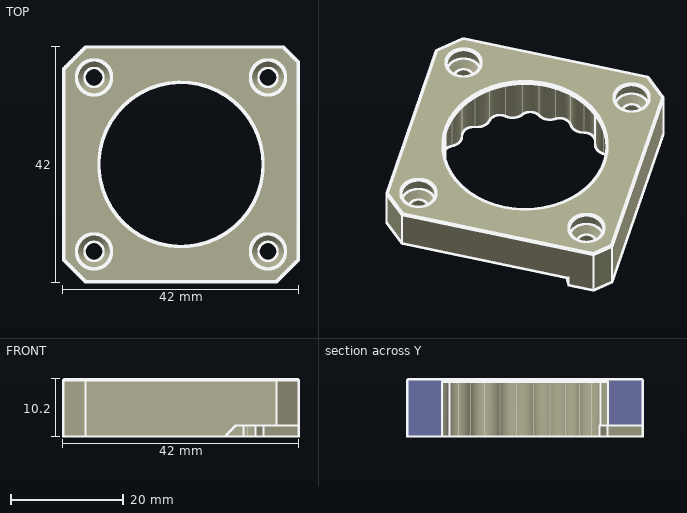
import cadquery as cq
import math

side = 42.0
height = 10.25
half = side / 2
corner_cut = 3.95
small_corner_cut = 2.75
edge_break = 0.2

mouth_radius = 14.55
mouth_depth = 0.5
lobe_count = 16
crest_radius = 14.75
valley_radius = 15.95
flank_radius = (crest_radius + valley_radius) / 2
lobe_pitch = 360 / lobe_count

hole_offset = 15.5
hole_radius = 1.7
sink_radius = 3.02
sink_depth = 2.6
cone_depth = sink_radius - hole_radius

recess_depth = 1.97
recess_start = 7.75
ledge_y = -15.1
ledge_end_x = 11.15
wall_bend_x = 14.65
inner_wall_tilt = 49.0
outer_wall_tilt = 27.0


def polar(radius, angle):
    """Point at a radius and an angle in degrees about the bore axis."""
    turn = math.radians(angle)
    return (radius * math.cos(turn), radius * math.sin(turn))


def make_plate():
    corners = [
        (1, 1, small_corner_cut),
        (-1, 1, corner_cut),
        (-1, -1, corner_cut),
        (1, -1, corner_cut),
    ]
    outline = []
    for x_sign, y_sign, cut in corners:
        along_side = (x_sign * (half - cut), y_sign * half)
        along_end = (x_sign * half, y_sign * (half - cut))
        pair = [along_end, along_side]
        if x_sign != y_sign:
            pair.reverse()
        outline += pair
    plate = cq.Workplane("XY").polyline(outline).close().extrude(height)
    return plate.faces(">Z").edges().chamfer(edge_break)


def make_bore():
    outline = cq.Workplane("XY").moveTo(*polar(flank_radius, -lobe_pitch / 4))
    for index in range(lobe_count):
        crest_angle = index * lobe_pitch
        valley_angle = crest_angle + lobe_pitch / 2
        outline = outline.threePointArc(
            polar(crest_radius, crest_angle),
            polar(flank_radius, crest_angle + lobe_pitch / 4))
        outline = outline.threePointArc(
            polar(valley_radius, valley_angle),
            polar(flank_radius, valley_angle + lobe_pitch / 4))
    scallops = outline.close().extrude(height - mouth_depth)
    mouth_profile = [
        (0, 0),
        (mouth_radius, 0),
        (mouth_radius, height - edge_break),
        (mouth_radius + edge_break, height),
        (0, height),
    ]
    mouth = cq.Workplane("XZ").polyline(mouth_profile).close().revolve(360, (0, 0), (0, 1))
    return scallops.union(mouth)


def make_screw_hole():
    sink_floor = height - sink_depth
    profile = [
        (0, 0),
        (hole_radius, 0),
        (hole_radius, sink_floor - cone_depth),
        (sink_radius, sink_floor),
        (sink_radius, height - edge_break),
        (sink_radius + edge_break, height),
        (0, height),
    ]
    return cq.Workplane("XZ").polyline(profile).close().revolve(360, (0, 0), (0, 1))


def make_recess():
    ramp_profile = [
        (recess_start, 0),
        (half, 0),
        (half, recess_depth),
        (recess_start + recess_depth, recess_depth),
    ]
    ramped_slot = (
        cq.Workplane("XZ", origin=(0, ledge_y, 0))
        .polyline(ramp_profile).close().extrude(half + ledge_y)
    )
    wall_x, wall_y = polar(valley_radius, 1.5 * lobe_pitch)
    bend_y = wall_y + (wall_bend_x - wall_x) * math.tan(math.radians(inner_wall_tilt))
    outer_y = bend_y + (half - wall_bend_x) * math.tan(math.radians(outer_wall_tilt))
    floor_outline = [
        (ledge_end_x, -half),
        (half, -half),
        (half, outer_y),
        (wall_bend_x, bend_y),
        (wall_x, wall_y),
        (ledge_end_x, 0),
    ]
    pocket = cq.Workplane("XY").polyline(floor_outline).close().extrude(recess_depth)
    return ramped_slot.union(pocket)


result = make_plate().cut(make_bore()).cut(make_recess())
for x_sign in (-1, 1):
    for y_sign in (-1, 1):
        place = (x_sign * hole_offset, y_sign * hole_offset, 0)
        result = result.cut(make_screw_hole().translate(place))